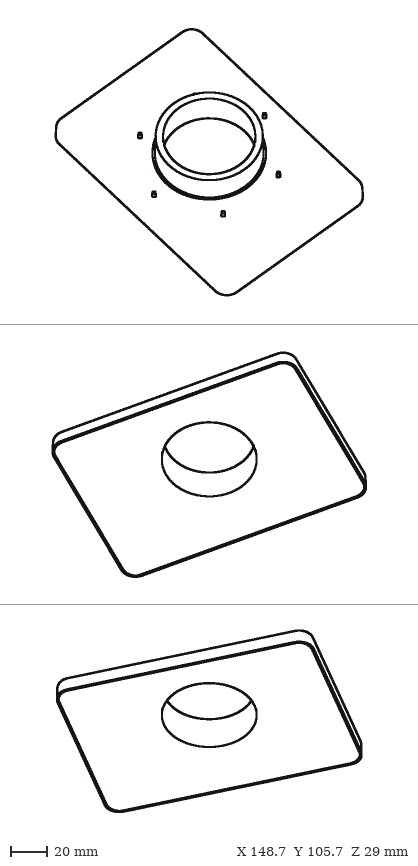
import cadquery as cq
import math

PLATE_LENGTH = 148.7
PLATE_WIDTH = 105.7
PLATE_HEIGHT = 9.8
PLATE_CORNER_RADIUS = 8.5
PLATE_DRAFT_ANGLE = 2.0
TOP_EDGE_RADIUS = 2.1
SHELL_THICKNESS = 1.0

TOTAL_HEIGHT = 29.0
TUBE_BOTTOM_DIAMETER = 60.4
TUBE_TOP_DIAMETER = 59.5
BORE_BOTTOM_DIAMETER = 52.6
BORE_TOP_DIAMETER = 51.2

COLLAR_DIAMETER = 63.0
COLLAR_HEIGHT = 3.1
COLLAR_FILLET_RADIUS = 2.1

PIN_COUNT = 6
PIN_CIRCLE_RADIUS = 40.6
PIN_FIRST_ANGLE = 30
PIN_BOTTOM_DIAMETER = 2.2
PIN_TOP_DIAMETER = 1.8
PIN_HEIGHT = 2.7


def make_drafted_block(inset, height, edge_radius):
    """Drafted block with rounded corners and top edge, set in from the plate's sides."""
    return (
        cq.Workplane("XY")
        .sketch()
        .rect(PLATE_LENGTH - 2 * inset, PLATE_WIDTH - 2 * inset)
        .vertices()
        .fillet(PLATE_CORNER_RADIUS - inset)
        .finalize()
        .extrude(height, taper=PLATE_DRAFT_ANGLE)
        .faces(">Z")
        .edges()
        .fillet(edge_radius)
    )


def make_cavity():
    """Hollow under the plate, one shell thickness inside its walls and top."""
    return make_drafted_block(
        SHELL_THICKNESS,
        PLATE_HEIGHT - SHELL_THICKNESS,
        TOP_EDGE_RADIUS - SHELL_THICKNESS,
    )


def make_tube():
    """Solid tube and collar turned about Z; a concave arc blends the collar into the plate."""
    tube_foot = PLATE_HEIGHT - SHELL_THICKNESS
    collar_top = PLATE_HEIGHT + COLLAR_HEIGHT
    collar_radius = COLLAR_DIAMETER / 2
    flare_radius = collar_radius + COLLAR_FILLET_RADIUS
    arc_inset = COLLAR_FILLET_RADIUS * (1 - math.sqrt(0.5))
    return (
        cq.Workplane("XZ")
        .moveTo(0, tube_foot)
        .lineTo(flare_radius, tube_foot)
        .lineTo(flare_radius, PLATE_HEIGHT)
        .threePointArc(
            (collar_radius + arc_inset, PLATE_HEIGHT + arc_inset),
            (collar_radius, PLATE_HEIGHT + COLLAR_FILLET_RADIUS),
        )
        .lineTo(collar_radius, collar_top)
        .lineTo(TUBE_BOTTOM_DIAMETER / 2, collar_top)
        .lineTo(TUBE_TOP_DIAMETER / 2, TOTAL_HEIGHT)
        .lineTo(0, TOTAL_HEIGHT)
        .close()
        .revolve(360, (0, 0, 0), (0, 1, 0))
    )


def make_cone(bottom_diameter, top_diameter, height, base_center):
    """Truncated cone standing upright on its base center."""
    return cq.Workplane(
        cq.Solid.makeCone(bottom_diameter / 2, top_diameter / 2, height, pnt=base_center)
    )


def make_bore():
    """Tapered opening through the tube and the top of the plate."""
    bore_foot = PLATE_HEIGHT - SHELL_THICKNESS
    return make_cone(
        BORE_BOTTOM_DIAMETER,
        BORE_TOP_DIAMETER,
        TOTAL_HEIGHT - bore_foot,
        cq.Vector(0, 0, bore_foot),
    )


def make_pin(angle):
    """Tapered pin on top of the plate, at an angle in degrees around the tube."""
    x = PIN_CIRCLE_RADIUS * math.cos(math.radians(angle))
    y = PIN_CIRCLE_RADIUS * math.sin(math.radians(angle))
    return make_cone(
        PIN_BOTTOM_DIAMETER, PIN_TOP_DIAMETER, PIN_HEIGHT, cq.Vector(x, y, PLATE_HEIGHT)
    )


def make_housing():
    """Hollow plate, tube, collar and molded-on pins in one solid."""
    plate = make_drafted_block(0, PLATE_HEIGHT, TOP_EDGE_RADIUS)
    housing = plate.cut(make_cavity()).union(make_tube()).cut(make_bore())
    for index in range(PIN_COUNT):
        housing = housing.union(make_pin(PIN_FIRST_ANGLE + index * 360 / PIN_COUNT))
    return housing


housing = make_housing()

result = cq.Compound.makeCompound([housing.val()])